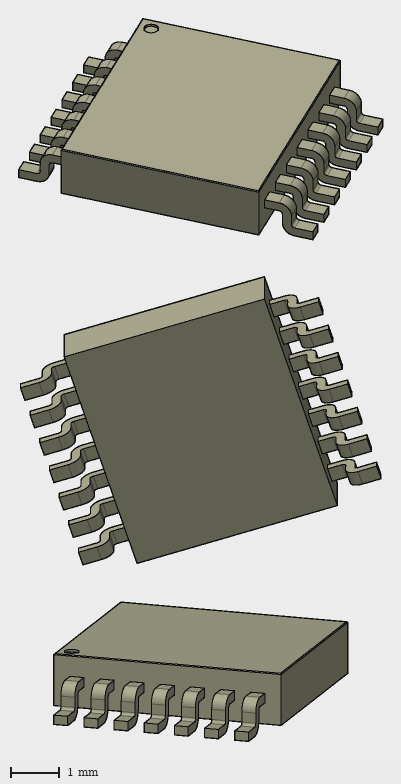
import cadquery as cq

lead_span = 6.4
overall_height = 1.2

body_length_x = 4.3
body_width_y = 4.9
standoff = 0.1
body_height = overall_height - standoff
top_chamfer = 0.02

mark_diameter = 0.3
mark_inset = 0.29
mark_depth = 0.05

leads_per_side = 7
lead_pitch = 0.65
lead_width = 0.3
lead_thickness = 0.2
lead_top = 0.75
foot_flat = 0.4
inner_bend_radius = lead_thickness / 3
outer_bend_radius = inner_bend_radius + lead_thickness


def make_body():
    body = cq.Workplane("XY").workplane(offset=standoff).box(
        body_length_x, body_width_y, body_height, centered=(True, True, False)
    )
    return body.faces(">Z").edges().chamfer(top_chamfer)


def make_pin_mark():
    mark_x = -body_length_x / 2 + mark_inset
    mark_y = body_width_y / 2 - mark_inset
    return (
        cq.Workplane("XY")
        .workplane(offset=overall_height - mark_depth)
        .center(mark_x, mark_y)
        .circle(mark_diameter / 2)
        .extrude(mark_depth)
    )


def make_left_lead():
    """Gull-wing lead on the -X side, centred on Y = 0 and ending at the body wall."""
    toe_x = -lead_span / 2
    riser_outer_x = toe_x + foot_flat + inner_bend_radius
    riser_inner_x = riser_outer_x + lead_thickness
    wall_x = -body_length_x / 2
    shoulder_bottom = lead_top - lead_thickness

    lead = (
        cq.Workplane("XZ")
        .moveTo(toe_x, 0)
        .lineTo(riser_inner_x, 0)
        .lineTo(riser_inner_x, shoulder_bottom)
        .lineTo(wall_x, shoulder_bottom)
        .lineTo(wall_x, lead_top)
        .lineTo(riser_outer_x, lead_top)
        .lineTo(riser_outer_x, lead_thickness)
        .lineTo(toe_x, lead_thickness)
        .close()
        .extrude(lead_width / 2, both=True)
    )
    outer_bends = [(riser_inner_x, 0, 0), (riser_outer_x, 0, lead_top)]
    inner_bends = [(riser_inner_x, 0, shoulder_bottom), (riser_outer_x, 0, lead_thickness)]
    for corner in outer_bends:
        lead = lead.edges(cq.NearestToPointSelector(corner)).fillet(outer_bend_radius)
    for corner in inner_bends:
        lead = lead.edges(cq.NearestToPointSelector(corner)).fillet(inner_bend_radius)
    return lead


result = make_body().cut(make_pin_mark())
left_lead = make_left_lead()
right_lead = left_lead.mirror("YZ")
for index in range(leads_per_side):
    lead_y = (index - (leads_per_side - 1) / 2) * lead_pitch
    for lead in (left_lead, right_lead):
        result = result.union(lead.translate((0, lead_y, 0)))